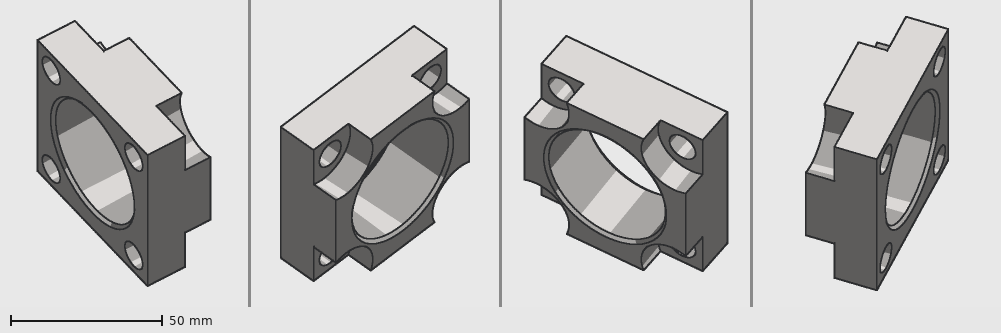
import cadquery as cq

side = 63.5
depth = 25.4
flange_thickness = 15.1
relief_radius = 12.7
relief_inset = 4.8
hole_diameter = 10.3
hole_spacing = 47.6
bore_diameter = 46.0
bore_chamfer = 1.2


def on_front(y=0.0):
    """Workplane parallel to the front face, with its normal along -Y."""
    return cq.Workplane("XZ", origin=(0, y, 0))


def square_points(spacing):
    """Four points at the corners of a centred square."""
    half = spacing / 2
    return [(x, z) for x in (-half, half) for z in (-half, half)]


block = on_front().rect(side, side).extrude(-depth)

bore = on_front().circle(bore_diameter / 2).extrude(-depth)
block = block.cut(bore)
block = block.faces("<Y or >Y").edges("%CIRCLE").chamfer(bore_chamfer)

reliefs = (
    on_front(flange_thickness)
    .pushPoints(square_points(side - 2 * relief_inset))
    .circle(relief_radius)
    .extrude(-(depth - flange_thickness))
)
block = block.cut(reliefs)

holes = (
    on_front()
    .pushPoints(square_points(hole_spacing))
    .circle(hole_diameter / 2)
    .extrude(-depth)
)
result = block.cut(holes)